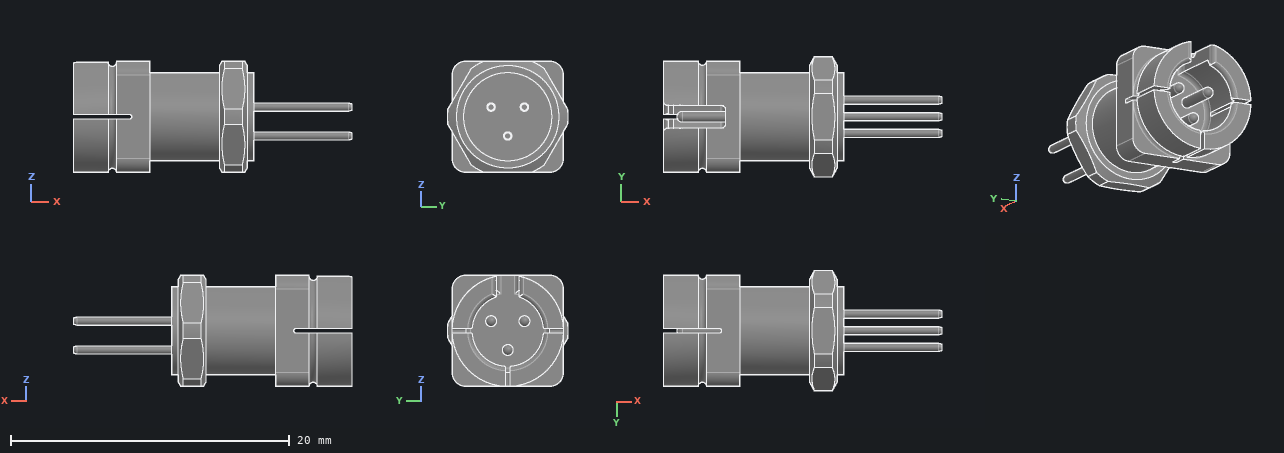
import cadquery as cq
import math

TOTAL_LENGTH = 20.0
GROOVE_START = 2.5
FLANGE_START = 3.08
FLANGE_END = 5.48
NUT_START = 10.48
NUT_END = 12.48
BARREL_END = 12.95
SOCKET_DEPTH = 4.45

FLANGE_SIDE = 8.0
FLANGE_CORNER_RADIUS = 1.0
COLLAR_RADIUS = FLANGE_SIDE / 2
GROOVE_RADIUS = (FLANGE_START - GROOVE_START) / 2
BARREL_RADIUS = 6.35 / 2

SOCKET_FLOOR_RADIUS = 5.38 / 2
SOCKET_FILLET = 0.32
SOCKET_RADIUS = SOCKET_FLOOR_RADIUS + SOCKET_FILLET
LIP_RADIUS = 2.55
LIP_ROUNDING = 0.32
LIP_LAND_END = 0.35
LIP_END_FILLET = 0.12
LIP_TAPER_END = 0.72

KEY_WIDTH = 1.62
KEY_ROUNDING = 0.32
SLIT_WIDTH = 0.3
SLIT_DEPTH = 4.18
SLIT_ANGLES = (90, 180, 270)

PIN_COUNT = 3
PIN_CIRCLE_RADIUS = 1.38
FIRST_PIN_ANGLE = 30
CONTACT_RADIUS = 0.78 / 2
CONTACT_TIP = 0.95
TAIL_RADIUS = 0.6 / 2
TAIL_TIP_RADIUS = 0.23
TAIL_TAPER_LENGTH = 0.25

NUT_ACROSS_FLATS = 8.0
NUT_CORNER_RADIUS = 8.68 / 2
NUT_FACE_RADIUS = 3.68
NUT_CHAMFER_LENGTH = 0.35

AXIS_START = (0, 0, 0)
AXIS_END = (1, 0, 0)


def revolve_about_x(outline):
    """Turn a closed outline, drawn as (axial, radial) points, about the X axis."""
    return outline.close().revolve(360, AXIS_START, AXIS_END)


def cylinder(start, end, radius):
    """Cylinder on the X axis between two axial stations."""
    return cq.Workplane("YZ", origin=(start, 0, 0)).circle(radius).extrude(end - start)


def make_shell():
    """Collar, waisted by a round groove, then the square flange and the barrel."""
    groove_middle = (GROOVE_START + FLANGE_START) / 2
    collar = revolve_about_x(
        cq.Workplane("XY")
        .lineTo(0, COLLAR_RADIUS)
        .lineTo(GROOVE_START, COLLAR_RADIUS)
        .threePointArc(
            (groove_middle, COLLAR_RADIUS - GROOVE_RADIUS),
            (FLANGE_START, COLLAR_RADIUS),
        )
        .lineTo(FLANGE_START, 0)
    )
    flange = (
        cq.Workplane("YZ", origin=(FLANGE_START, 0, 0))
        .rect(FLANGE_SIDE, FLANGE_SIDE)
        .extrude(FLANGE_END - FLANGE_START)
        .edges("|X")
        .fillet(FLANGE_CORNER_RADIUS)
    )
    barrel = cylinder(FLANGE_END, BARREL_END, BARREL_RADIUS)
    return collar.union(flange).union(barrel)


def make_socket():
    """Cavity of the socket: straight lip, taper, bore and filleted floor."""
    arc_offset = SOCKET_FILLET * (1 - math.sqrt(0.5))
    return revolve_about_x(
        cq.Workplane("XY")
        .lineTo(0, LIP_RADIUS)
        .lineTo(LIP_LAND_END, LIP_RADIUS)
        .lineTo(LIP_TAPER_END, SOCKET_RADIUS)
        .lineTo(SOCKET_DEPTH - SOCKET_FILLET, SOCKET_RADIUS)
        .threePointArc(
            (SOCKET_DEPTH - arc_offset, SOCKET_RADIUS - arc_offset),
            (SOCKET_DEPTH, SOCKET_FLOOR_RADIUS),
        )
        .lineTo(SOCKET_DEPTH, 0)
    )


def make_mouth():
    """Flared mouth that rounds the front edge of the lip."""
    return revolve_about_x(
        cq.Workplane("XY")
        .lineTo(0, LIP_RADIUS + LIP_ROUNDING)
        .radiusArc((LIP_ROUNDING, LIP_RADIUS), -LIP_ROUNDING)
        .lineTo(LIP_ROUNDING, 0)
    )


def make_key_slot():
    """Straight slot through the top wall, with rounded corners at its end."""
    return (
        cq.Workplane("XY")
        .rect(2 * SOCKET_DEPTH, KEY_WIDTH)
        .extrude(FLANGE_SIDE / 2)
        .edges("|Z and >X")
        .fillet(KEY_ROUNDING)
    )


def make_key_entry():
    """Flared entry that rounds the front edges of the key slot."""
    half_width = KEY_WIDTH / 2
    return (
        cq.Workplane("XY")
        .moveTo(0, -half_width - KEY_ROUNDING)
        .radiusArc((KEY_ROUNDING, -half_width), KEY_ROUNDING)
        .lineTo(KEY_ROUNDING, half_width)
        .radiusArc((0, half_width + KEY_ROUNDING), KEY_ROUNDING)
        .close()
        .extrude(FLANGE_SIDE / 2)
    )


def make_slit(angle):
    """Round-ended slit through the wall, turned about the X axis from the top."""
    half_width = SLIT_WIDTH / 2
    return (
        cq.Workplane("XY")
        .moveTo(0, -half_width)
        .lineTo(SLIT_DEPTH - half_width, -half_width)
        .threePointArc((SLIT_DEPTH, 0), (SLIT_DEPTH - half_width, half_width))
        .lineTo(0, half_width)
        .close()
        .extrude(FLANGE_SIDE / 2)
        .rotate(AXIS_START, AXIS_END, angle)
    )


def make_pin(angle):
    """Round-nosed contact in the socket and a thinner tapered tail behind the barrel."""
    nose_end = CONTACT_TIP + CONTACT_RADIUS
    contact = cylinder(nose_end, SOCKET_DEPTH, CONTACT_RADIUS)
    nose = cq.Workplane("XY", origin=(nose_end, 0, 0)).sphere(CONTACT_RADIUS)
    tail = revolve_about_x(
        cq.Workplane("XY")
        .moveTo(SOCKET_DEPTH, 0)
        .lineTo(SOCKET_DEPTH, TAIL_RADIUS)
        .lineTo(TOTAL_LENGTH - TAIL_TAPER_LENGTH, TAIL_RADIUS)
        .lineTo(TOTAL_LENGTH, TAIL_TIP_RADIUS)
        .lineTo(TOTAL_LENGTH, 0)
    )
    pin_y = PIN_CIRCLE_RADIUS * math.cos(math.radians(angle))
    pin_z = PIN_CIRCLE_RADIUS * math.sin(math.radians(angle))
    return contact.union(nose).union(tail).translate((0, pin_y, pin_z))


def round_lip_ends(shell):
    """Round the axial edges where the slits and the key slot interrupt the lip."""
    lip_region = cq.selectors.BoxSelector(
        (0, -LIP_RADIUS, -LIP_RADIUS), (LIP_LAND_END, LIP_RADIUS, LIP_RADIUS)
    )
    return shell.edges("|X").edges(lip_region).fillet(LIP_END_FILLET)


def make_housing():
    """Shell with its socket and slots, and the contact pins held in it."""
    housing = make_shell().cut(make_socket()).cut(make_key_slot())
    for angle in SLIT_ANGLES:
        housing = housing.cut(make_slit(angle))
    housing = round_lip_ends(housing).cut(make_mouth()).cut(make_key_entry())
    for index in range(PIN_COUNT):
        housing = housing.union(make_pin(FIRST_PIN_ANGLE + index * 360 / PIN_COUNT))
    return housing


def make_nut():
    """Hexagon with flats facing up and down, corners turned round and chamfered."""
    across_corners = NUT_ACROSS_FLATS / math.cos(math.radians(30))
    hexagon = (
        cq.Workplane("YZ", origin=(NUT_START, 0, 0))
        .polygon(6, across_corners)
        .extrude(NUT_END - NUT_START)
    )
    turned_envelope = revolve_about_x(
        cq.Workplane("XY")
        .moveTo(NUT_START, 0)
        .lineTo(NUT_START, NUT_FACE_RADIUS)
        .lineTo(NUT_START + NUT_CHAMFER_LENGTH, NUT_CORNER_RADIUS)
        .lineTo(NUT_END - NUT_CHAMFER_LENGTH, NUT_CORNER_RADIUS)
        .lineTo(NUT_END, NUT_FACE_RADIUS)
        .lineTo(NUT_END, 0)
    )
    return hexagon.intersect(turned_envelope).cut(cylinder(NUT_START, NUT_END, BARREL_RADIUS))


housing = make_housing()
nut = make_nut()

result = cq.Compound.makeCompound([housing.val(), nut.val()])